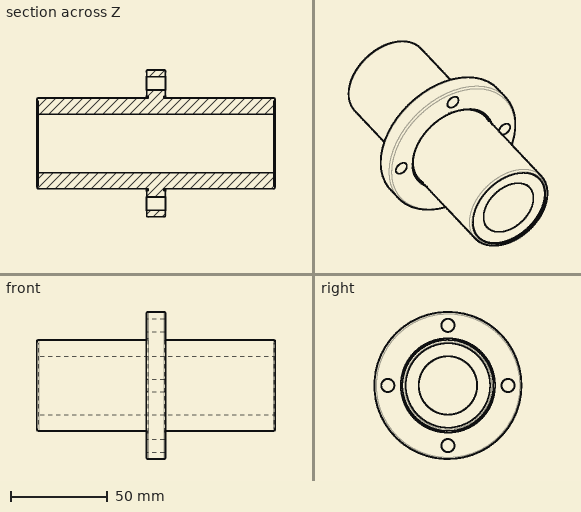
import cadquery as cq

sleeve_length = 123.0
sleeve_diameter = 47.0
bore_diameter = 30.0

end_recess_diameter = 43.5
end_recess_depth = 0.7

flange_diameter = 76.0
flange_thickness = 10.0
edge_radius = 1.0

relief_diameter = 48.7
relief_depth = 0.7

hole_count = 4
hole_diameter = 6.6
hole_circle_diameter = 62.0


def cylinder(diameter, length):
    """Plain cylinder along X, centred on the origin."""
    return cq.Workplane("YZ", origin=(-length / 2, 0, 0)).circle(diameter / 2).extrude(length)


def rounded_cylinder(diameter, length):
    """Cylinder along X, centred on the origin, with both rims rounded."""
    return cylinder(diameter, length).faces("<X or >X").edges().fillet(edge_radius)


def recess_both_faces(body, diameter, length, depth):
    """Sink a round recess into both end faces of a cylinder of the given length."""
    recesses = cylinder(diameter, length).cut(cylinder(diameter, length - 2 * depth))
    return body.cut(recesses)


def make_sleeve():
    """Solid sleeve with rounded rims and recessed end faces."""
    blank = rounded_cylinder(sleeve_diameter, sleeve_length)
    return recess_both_faces(blank, end_recess_diameter, sleeve_length, end_recess_depth)


def make_flange():
    """Rounded disc with a relief in both faces and a ring of mounting holes."""
    blank = rounded_cylinder(flange_diameter, flange_thickness)
    disc = recess_both_faces(blank, relief_diameter, flange_thickness, relief_depth)
    holes = (
        cq.Workplane("YZ", origin=(-flange_thickness / 2, 0, 0))
        .polarArray(hole_circle_diameter / 2, 0, 360, hole_count)
        .circle(hole_diameter / 2)
        .extrude(flange_thickness)
    )
    return disc.cut(holes)


bore = cylinder(bore_diameter, sleeve_length)
result = make_sleeve().union(make_flange()).cut(bore)